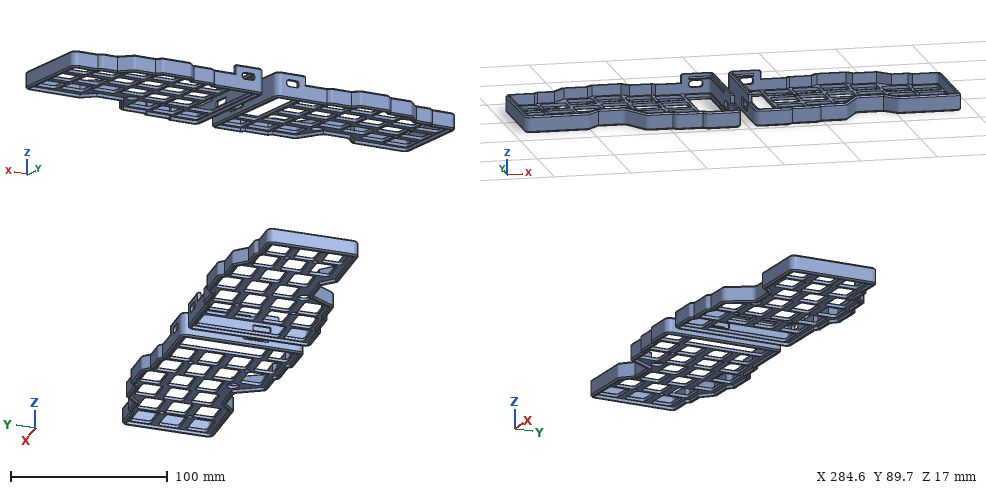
import cadquery as cq
import math

pitch = 19.0
cell_half = pitch / 2
key_width = 17.0
key_depth = 14.0
key_radius = 2.0
last_column = 6

total_width = 284.6
wall = 2.35
floor_top = 4.0
recess_depth = 2.0
rim_height = 11.0
edge_chamfer = 1.0
cavity_corner_radius = 1.65
notch_radius = 3.5
column_0_x = -total_width / 2 + wall + cell_half

small_stagger = 2.25
ring_stagger = 3.5
pinky_stagger = 8.0
lowest_key_y = -33.0
column_5_y = lowest_key_y + small_stagger + 1.5 * pitch
column_4_y = column_5_y + small_stagger
column_3_y = column_4_y + 2 * small_stagger + cell_half
column_2_y = column_3_y - ring_stagger
column_1_y = column_2_y - pinky_stagger
column_0_y = column_1_y - small_stagger
three_rows = [-1, 0, 1]
four_rows = [-1.5, -0.5, 0.5, 1.5]
key_columns = [
    (0, column_0_y, three_rows),
    (1, column_1_y, three_rows),
    (2, column_2_y, three_rows),
    (3, column_3_y, three_rows),
    (4, column_4_y, four_rows),
    (5, column_5_y, four_rows),
]
three_row_half = 1.5 * pitch
four_row_half = 2 * pitch
palm_notch_y = column_2_y - three_row_half - small_stagger
thumb_slope = math.radians(60)

window_length = 56.0

screw_diameter = 3.5
reset_diameter = 8.0
reset_center = (-68.6, -18.8)

tab_height = 17.0

rib_bottom = 13.2
rib_top = 15.0
rib_reach = 0.6
rib_end_x = -21.0
rib_end_y = -4.3

usb_width = 9.2
usb_bottom = 8.0
usb_top = 12.5
usb_radius = 2.0
jack_center_y = -12.0
jack_width = 12.0
jack_bottom = 5.0
jack_top = 9.0
jack_radius = 1.0
plug_width = 17.0
plug_bottom = 4.0
plug_top = 10.0
plug_depth = 1.0


def column_x(column):
    return column_0_x + column * pitch


def column_left(column):
    return column_x(column) - cell_half


inner_x = column_left(last_column + 1)
outer_x = inner_x + wall
back_y = column_5_y + four_row_half
tab_left = column_left(last_column)
tab_front = lowest_key_y + cell_half

thumb_corner = (column_left(4), column_4_y - four_row_half)
thumb_run = (palm_notch_y - thumb_corner[1]) / math.tan(thumb_slope)
notch_corner = (thumb_corner[0] - thumb_run, palm_notch_y)


def cavity_outline():
    """Corner points of the cavity: the key cells, with sloped steps between the columns."""
    top = {column: y + three_row_half for column, y, _ in key_columns}
    top[4] = column_4_y + four_row_half
    top[5] = back_y
    bottom_0 = column_0_y - three_row_half
    bottom_4 = thumb_corner[1]
    bottom_5 = column_5_y - four_row_half
    bottom_6 = lowest_key_y - cell_half
    notch_rise = palm_notch_y - bottom_0
    return [
        (column_left(0), bottom_0),
        (column_left(2), bottom_0),
        (column_left(2) + notch_rise, palm_notch_y),
        notch_corner,
        thumb_corner,
        (column_left(5) - small_stagger, bottom_4),
        (column_left(5), bottom_5),
        (column_left(6) - (bottom_5 - bottom_6), bottom_5),
        (column_left(6), bottom_6),
        (inner_x, bottom_6),
        (inner_x, top[5]),
        (column_left(5) + small_stagger, top[5]),
        (column_left(5), top[4]),
        (column_left(4) + top[3] - top[4], top[4]),
        (column_left(4), top[3]),
        (column_left(3), top[3]),
        (column_left(3) - ring_stagger, top[2]),
        (column_left(2), top[2]),
        (column_left(2) - pinky_stagger, top[1]),
        (column_left(1), top[1]),
        (column_left(1) - small_stagger, top[0]),
        (column_left(0), top[0]),
    ]


def edge_near(x, y, z):
    return cq.selectors.NearestToPointSelector((x, y, z))


def cavity_prism(height):
    """Solid with the cavity outline, rounded at its four square corners and the thumb corner."""
    prism = cq.Workplane("XY").polyline(cavity_outline()).close().extrude(height)
    prism = prism.edges("|Z and (<X or >X)").fillet(cavity_corner_radius)
    return prism.edges(edge_near(*thumb_corner, height / 2)).fillet(cavity_corner_radius)


def outer_prism(height):
    """Solid with the cavity outline moved out by the wall thickness, rounded in the palm notch."""
    outline = cavity_prism(1).faces("<Z").wires().val()
    prism = cq.Workplane(outline.offset2D(wall, "arc")[0]).toPending().extrude(height)
    notch_x = notch_corner[0] - wall * math.tan(thumb_slope / 2)
    return prism.edges(edge_near(notch_x, palm_notch_y - wall, height / 2)).fillet(notch_radius)


def box_between(low, high):
    size = [b - a for a, b in zip(low, high)]
    return cq.Workplane("XY").box(*size, centered=False).translate(low)


def shell():
    """Tray with a chamfered outside, a recessed underside and a raised wall around the controller."""
    tray = outer_prism(rim_height).faces("<Z or >Z").edges().chamfer(edge_chamfer)
    tab_zone = box_between((tab_left, tab_front, edge_chamfer), (0, back_y + 2 * wall, tab_height))
    tab = outer_prism(tab_height).intersect(tab_zone).faces(">Z").edges().chamfer(edge_chamfer)
    cavity = cavity_prism(tab_height).translate((0, 0, floor_top))
    return tray.union(tab).cut(cavity).cut(cavity_prism(recess_depth))


def rounded_window(x, y, length):
    window = cq.Workplane("XY").box(key_width, length, 2 * tab_height).edges("|Z").fillet(key_radius)
    return window.translate((x, y, 0))


def cut_key_windows(case):
    for column, center_y, rows in key_columns:
        for row in rows:
            case = case.cut(rounded_window(column_x(column), center_y + row * pitch, key_depth))
    controller_y = column_5_y + 1.5 * pitch + key_depth / 2 - window_length / 2
    case = case.cut(rounded_window(column_x(last_column), controller_y, window_length))
    return case.cut(rounded_window(column_x(last_column), lowest_key_y, key_depth))


def cut_floor_holes(case):
    """Four screw holes between neighbouring columns, and the reset hole."""
    left_y = (column_0_y + column_1_y) / 2
    right_y = (column_4_y + column_5_y) / 2
    screws = [(column_left(1), left_y + side * cell_half) for side in (-1, 1)]
    screws += [(column_left(5), right_y + side * pitch) for side in (-1, 1)]
    floor = cq.Workplane("XY")
    case = case.cut(floor.pushPoints(screws).circle(screw_diameter / 2).extrude(floor_top))
    return case.cut(floor.pushPoints([reset_center]).circle(reset_diameter / 2).extrude(floor_top))


def snap_rib():
    """Ridge with a triangular section that follows the back and side walls around their corner."""
    half_height = (rib_top - rib_bottom) / 2
    slope = math.degrees(math.atan2(rib_reach, half_height))
    zone = box_between(
        (rib_end_x, rib_end_y, rib_bottom),
        (outer_x - wall / 2, back_y + wall / 2, rib_top),
    )
    core = box_between((rib_end_x - pitch, rib_end_y - pitch, 0), (inner_x, back_y, half_height))
    core = core.edges("|Z").edges(">X and >Y").fillet(cavity_corner_radius)
    outline = core.faces("<Z").wires().toPending()
    narrowing = outline.extrude(half_height, combine=False, taper=slope)
    lower = narrowing.translate((0, 0, rib_bottom))
    upper = narrowing.mirror("XY").translate((0, 0, rib_top))
    return zone.cut(lower).cut(upper)


def cut_cable_openings(case):
    """USB opening in the back wall, and a jack hole with a plug recess in the side wall."""
    usb = box_between(
        (column_x(last_column) - usb_width / 2, back_y - wall, usb_bottom),
        (column_x(last_column) + usb_width / 2, back_y + 2 * wall, usb_top),
    )
    jack = box_between(
        (inner_x - wall, jack_center_y - jack_width / 2, jack_bottom),
        (outer_x + wall, jack_center_y + jack_width / 2, jack_top),
    )
    plug = box_between(
        (outer_x - plug_depth, jack_center_y - plug_width / 2, plug_bottom),
        (outer_x + plug_depth, jack_center_y + plug_width / 2, plug_top),
    )
    case = case.cut(usb.edges("|Y").fillet(usb_radius))
    return case.cut(jack.edges("|X").fillet(jack_radius)).cut(plug.edges("|X").fillet(jack_radius))


def left_case():
    case = cut_floor_holes(cut_key_windows(shell()))
    return cut_cable_openings(case.union(snap_rib()))


left = left_case()
right = left.mirror("YZ")
result = cq.Compound.makeCompound([left.val(), right.val()])